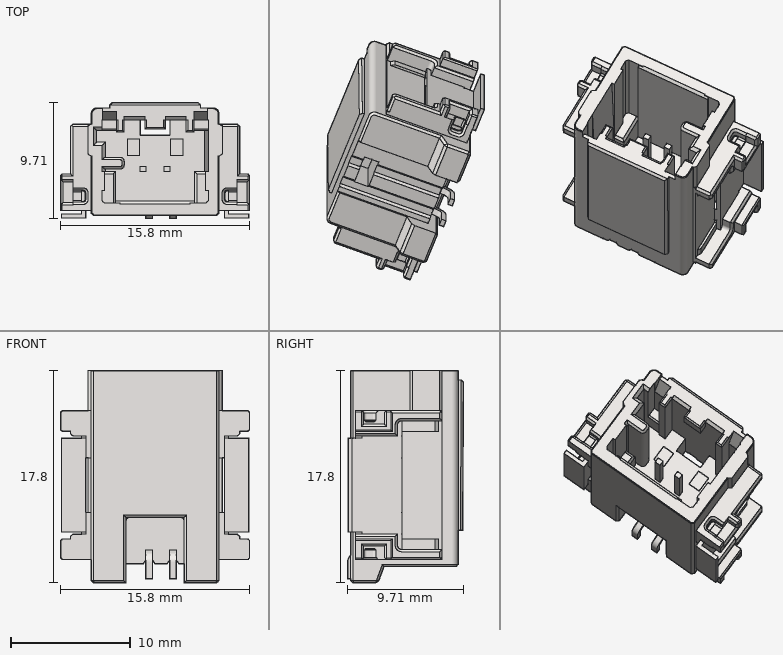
import cadquery as cq
import math

height = 17.8
body_half_width = 5.35
body_back = 9.02
body_bottom = 1.36
back_corner_radius = 0.5
edge_bevel = 0.2
rim_bevel = 0.07

embed = 0.2

foot_depth = 2.3
foot_slope_run = 0.5
foot_inner_x = 2.43
middle_bottom = 1.6

bulge_half_width = 5.62
bulge_front = 5.17
bulge_back = 7.66

wing_mid_z = 8.19
wing_half_height = 6.24
wing_front = 0.42
wing_outer_x = 7.09
wing_arm_thickness = 0.86
wing_block_back = 3.93
wing_block_thickness = 2.14
wing_bend_radius = 0.35
pad_outer_x = 7.9
pad_back = 3.5
pad_thickness = 1.75
wing_bevel = 0.2
pad_bevel = 0.13

notch_inner_x = 6.87
notch_front = 1.1
notch_back = 2.82
notch_depth = 1.13
slot_inner_x = 5.6
slot_front = 1.13
slot_back = 2.13
slot_depth = 0.95
slot_corner_radius = 0.25
slot_floor_bevel = 0.15

plate_inner_x = 5.79
plate_thickness = 0.37
plate_outer_x = 7.84
plate_bottom = -0.2
plate_foot_thickness = 0.34
plate_foot_half_height = 3.93
plate_shoulder_y = 0.95
plate_back = 4.3
plate_gap_half_height = 2.28
guide_pad_height = 0.2
guide_pad_back = 7.05
guide_pad_slope_run = 0.3
guide_pad_half_height = 4.5

rib_half_width = 3.81
rib_back_top = 9.46
rib_back_bottom = 9.39
rib_top = 17.0
rib_bottom = 4.4
rib_bevel = 0.2

floor_z = 6.0
cavity_half_width = 4.45
cavity_front = 1.06
cavity_back = 8.0
post_inner_x = 4.4
key_half_width = 0.85
key_front = 7.25
key_height = 1.7
lead_in = 0.28
guide_bevel = 0.14
wall_draft = 0.3
front_liner_thickness = 0.23
fin_inner_x = 2.6
fin_outer_x = 3.25
fin_front = 7.0
ledge_front = 7.12
ledge_bevel = 0.15
corner_lead_in_run = 0.7
corner_lead_in_depth = 2.1
wall_pad_x = 4.22
wall_pad_front = 2.12
block_back = 3.7
block_inner_x = 3.3
block_height = 3.0
block_bevel = 0.2
front_relief_half_width = 2.92
front_relief_depth = 0.08

polarising_bevel = 0.28
key_slot_x = 4.89
key_slot_front = 6.16
key_slot_back = 7.12
guide_rib_tip_x = 2.58
guide_rib_front = 3.9
guide_rib_back = 4.88
guide_rib_tip_radius = 0.35

window_half_width = 1.24
window_front = 6.73
label_centre_x = 1.81
label_width = 1.04
label_front = 5.03
label_length = 1.37
label_depth = 0.1

notch_top = 5.48
front_notch_depth = 0.9
front_notch_corner = 0.3

pitch = 2.0
pin_width = 0.5
pin_front = 3.7
pin_back = 4.13
pin_top = 12.0
lead_shift = 0.5
lead_width = 0.57
lead_thickness = 0.4
lead_front = -0.25
lead_bottom = 0.35
lead_bend_z = 1.74
lead_bend_radius = 0.8
lead_bend_angle = math.radians(67)
lead_straight = 1.0
lead_relief_bottom_half = 0.49
lead_relief_top_half = 0.31
lead_relief_height = 0.27


def block(x0, x1, y0, y1, z0, z1):
    """Axis-aligned box between two opposite corners."""
    return cq.Workplane("XY").box(x1 - x0, y1 - y0, z1 - z0, centered=False).translate((x0, y0, z0))


def side_profile(points, x0, x1):
    """Closed (y, z) outline extruded from x0 to x1."""
    return cq.Workplane("YZ").polyline(points).close().extrude(x1 - x0).translate((x0, 0, 0))


def plan_profile(points, z0, z1):
    """Closed (x, y) outline extruded from z0 to z1."""
    return cq.Workplane("XY").polyline(points).close().extrude(z1 - z0).translate((0, 0, z0))


def mirrored(shape):
    return shape.union(shape.mirror("YZ"))


def flipped(shape):
    """Add the copy of a wing feature reflected about the wing mid height."""
    return shape.union(shape.mirror("XY", (0, 0, wing_mid_z)))


def make_housing():
    outline = [
        (0, 0),
        (foot_depth, 0),
        (foot_depth + foot_slope_run, body_bottom),
        (body_back, body_bottom),
        (body_back, height),
        (0, height),
    ]
    body = side_profile(outline, -body_half_width, body_half_width)
    body = body.edges("|Z and >Y").fillet(back_corner_radius)
    body = body.edges("|Z and <Y").chamfer(edge_bevel)
    lower_end = cq.selectors.BoxSelector(
        (-bulge_half_width, -foot_depth, -foot_depth), (bulge_half_width, height, 2 * body_bottom))
    foot_root = cq.selectors.NearestToPointSelector((0, foot_depth + foot_slope_run, body_bottom))
    body = body.edges(lower_end - foot_root).chamfer(edge_bevel)
    body = body.faces(">Z").edges().chamfer(rim_bevel)
    bulge = mirrored(plan_profile([
        (0, bulge_front - edge_bevel),
        (body_half_width, bulge_front - edge_bevel),
        (bulge_half_width, bulge_front),
        (bulge_half_width, bulge_back - edge_bevel),
        (bulge_half_width - edge_bevel, bulge_back),
        (0, bulge_back),
    ], wing_mid_z + wing_half_height - wing_arm_thickness, height))
    side_panel = block(-bulge_half_width, bulge_half_width, plate_back, bulge_back,
                       wing_mid_z - wing_half_height, wing_mid_z + wing_half_height)
    return body.union(bulge).union(side_panel)


def make_back_rib():
    outline = [
        (body_back - back_corner_radius, rib_bottom),
        (rib_back_bottom, rib_bottom),
        (rib_back_top, rib_top),
        (body_back - back_corner_radius, rib_top),
    ]
    rib = side_profile(outline, -rib_half_width, rib_half_width)
    return rib.faces(">Y").edges("not <Z").chamfer(rib_bevel)


def cut_cavity(body):
    wall_back = cavity_back + corner_lead_in_run
    body = body.cut(block(-post_inner_x, post_inner_x, cavity_back - lead_in, body_back, rib_top, height))
    body = body.union(make_back_rib())

    cavity = block(-cavity_half_width, cavity_half_width, cavity_front, cavity_back, floor_z, height)
    cavity = cavity.edges("|Z and <Y").chamfer(edge_bevel)
    relief = block(-front_relief_half_width, front_relief_half_width,
                   cavity_front - front_relief_depth, cavity_back, floor_z, height)
    body = body.cut(cavity.union(relief))

    recess_lead_in = side_profile(
        [(cavity_back, rib_top - lead_in), (cavity_back + lead_in, rib_top), (cavity_back, rib_top)],
        key_half_width, fin_inner_x)
    corner_lead_in = side_profile(
        [(cavity_back, rib_top - corner_lead_in_depth), (wall_back, rib_top), (cavity_back, rib_top)],
        fin_outer_x, post_inner_x)
    body = body.cut(mirrored(recess_lead_in)).cut(mirrored(corner_lead_in))

    fin = block(fin_inner_x, fin_outer_x, fin_front, wall_back, floor_z, rib_top)
    fin = fin.faces(">Z").edges("not >Y").chamfer(guide_bevel)
    key = block(-key_half_width, key_half_width, key_front, cavity_back + lead_in,
                rib_top - key_height, rib_top)
    key = key.faces(">Z").edges("not >Y").chamfer(guide_bevel)
    wall_pad = block(wall_pad_x, cavity_half_width, wall_pad_front, block_back, floor_z, height)
    guide_block = block(block_inner_x, cavity_half_width, cavity_front, block_back,
                        floor_z, floor_z + block_height)
    guide_block = guide_block.faces(">Z").edges("<X or >Y").chamfer(block_bevel)
    ledge = block(fin_outer_x, cavity_half_width, ledge_front, cavity_back, floor_z, floor_z + block_height)
    ledge = ledge.faces("<Y").edges(">Z").chamfer(ledge_bevel)
    side_draft = cq.Workplane("XZ").polyline([
        (cavity_half_width, height),
        (cavity_half_width, floor_z),
        (cavity_half_width - wall_draft, floor_z),
    ]).close().extrude(block_back - ledge_front).translate((0, block_back, 0))
    front_face = cavity_front - front_relief_depth
    front_liner = side_profile([
        (front_face, floor_z),
        (front_face, height),
        (front_face + front_liner_thickness, height - front_liner_thickness),
        (front_face + front_liner_thickness, floor_z),
    ], -block_inner_x, block_inner_x)
    for addition in (fin, wall_pad, guide_block, ledge, side_draft):
        body = body.union(mirrored(addition))
    return body.union(key).union(front_liner)


def add_polarising(body):
    liner_face = wall_draft - cavity_half_width
    liner = cq.Workplane("XZ").polyline([
        (-cavity_half_width, floor_z),
        (-cavity_half_width, height),
        (liner_face - polarising_bevel, height),
        (liner_face, height - polarising_bevel),
        (liner_face, floor_z),
    ]).close().extrude(block_back - ledge_front).translate((0, block_back, 0))
    slot = block(-key_slot_x, liner_face, key_slot_front, key_slot_back, floor_z, height)
    rim = block(-key_slot_x - polarising_bevel, liner_face, key_slot_front - polarising_bevel,
                key_slot_back + polarising_bevel, height - polarising_bevel, height + polarising_bevel)
    rim = rim.faces("<Z").edges("not >X").chamfer(polarising_bevel)
    body = body.union(liner).cut(slot).cut(rim)
    rib = block(-cavity_half_width, -guide_rib_tip_x, guide_rib_front, guide_rib_back, floor_z, height)
    rib = rib.edges("|Z and >X").fillet(guide_rib_tip_radius)
    rib = rib.faces(">Z").edges("not <X").chamfer(edge_bevel)
    return body.union(rib)


def cut_floor(body):
    body = body.cut(block(-window_half_width, window_half_width, window_front, cavity_back, 0, floor_z))
    for side in (-1, 1):
        centre = side * label_centre_x
        body = body.cut(block(centre - label_width / 2, centre + label_width / 2,
                              label_front, label_front + label_length, floor_z - label_depth, floor_z))
    return body


def cut_front_notch(body):
    body = body.cut(block(-foot_inner_x, foot_inner_x, 0, body_back, 0, middle_bottom))
    notch = block(-foot_inner_x, foot_inner_x, 0, front_notch_depth, 0, notch_top)
    notch = notch.edges("|Y and >Z").fillet(front_notch_corner)
    flare = (
        cq.Workplane("XZ")
        .center(0, notch_top / 2)
        .rect(2 * (foot_inner_x + edge_bevel), notch_top + 2 * edge_bevel)
        .workplane(offset=-edge_bevel)
        .rect(2 * foot_inner_x, notch_top)
        .loft()
    )
    return body.cut(notch).cut(flare)


def make_wing():
    """Upper +X wing; the lower one is its reflection."""
    top = wing_mid_z + wing_half_height
    arm_bottom = top - wing_arm_thickness
    block_bottom = top - wing_block_thickness
    outline = [
        (wing_front, top),
        (bulge_back, top),
        (bulge_back, arm_bottom),
        (wing_block_back, arm_bottom),
        (wing_block_back, block_bottom),
        (wing_front, block_bottom),
    ]
    wing = side_profile(outline, body_half_width - embed, wing_outer_x)
    inside_corner = cq.selectors.NearestToPointSelector((wing_outer_x, wing_block_back, arm_bottom))
    wing = wing.edges("|X").edges(inside_corner).fillet(wing_bend_radius)
    wing = wing.faces(">X").edges("not <Y").chamfer(wing_bevel)
    pad = block(notch_inner_x - embed, pad_outer_x, wing_front, pad_back, top - pad_thickness, top)
    pad = pad.faces(">X").edges("not <Y").chamfer(pad_bevel)
    pad = pad.edges("|X and >Y and >Z").chamfer(wing_bevel)
    wing = wing.edges("|X and >Y and >Z").chamfer(wing_bevel).union(pad)

    notch = block(notch_inner_x, pad_outer_x, notch_front, notch_back, top - notch_depth, top)
    side_rim = block(pad_outer_x - edge_bevel, pad_outer_x + edge_bevel, notch_front - edge_bevel,
                     notch_back + edge_bevel, top - notch_depth - edge_bevel, top)
    side_rim = side_rim.faces("<X").edges("not >Z").chamfer(edge_bevel)
    top_rim = block(notch_inner_x, pad_outer_x, notch_front - edge_bevel, notch_back + edge_bevel,
                    top - edge_bevel, top + edge_bevel)
    top_rim = top_rim.faces("<Z").edges("|X").chamfer(edge_bevel)
    slot = block(slot_inner_x + edge_bevel, notch_inner_x, slot_front, slot_back, top - slot_depth, top)
    slot = slot.edges("|Z and <X").fillet(slot_corner_radius)
    slot = slot.faces("<Z").edges("not >X").chamfer(slot_floor_bevel)
    slot_rim = block(slot_inner_x, notch_inner_x, slot_front - edge_bevel, slot_back + edge_bevel,
                     top - edge_bevel, top + edge_bevel)
    slot_rim = slot_rim.edges("|Z and <X").fillet(slot_corner_radius + edge_bevel)
    slot_rim = slot_rim.faces("<Z").edges("not >X").chamfer(edge_bevel)
    for cutter in (notch, side_rim, top_rim, slot, slot_rim):
        wing = wing.cut(cutter)
    return wing


def make_plate():
    """L-shaped solder plate on the +X side with the ribs that hold it."""
    leg_outer = plate_inner_x + plate_thickness
    low = wing_mid_z - plate_foot_half_height
    high = wing_mid_z + plate_foot_half_height
    arm_inner = wing_half_height - wing_arm_thickness
    block_inner = wing_half_height - wing_block_thickness
    plate = block(plate_inner_x, leg_outer, plate_bottom, plate_back, low, high)
    plate = plate.union(block(plate_inner_x, leg_outer, plate_shoulder_y, plate_back,
                              wing_mid_z - arm_inner, wing_mid_z + arm_inner))
    plate = plate.union(block(plate_inner_x, plate_outer_x, plate_bottom,
                              plate_bottom + plate_foot_thickness, low, high))
    filler = block(body_half_width - embed, plate_inner_x, wing_front, plate_back,
                   wing_mid_z + plate_gap_half_height, wing_mid_z + block_inner)
    guide_pad = plan_profile([
        (bulge_half_width - embed, plate_back),
        (bulge_half_width + guide_pad_height, plate_back),
        (bulge_half_width + guide_pad_height, guide_pad_back),
        (bulge_half_width, guide_pad_back + guide_pad_slope_run),
        (bulge_half_width - embed, guide_pad_back + guide_pad_slope_run),
    ], wing_mid_z + guide_pad_half_height, wing_mid_z + arm_inner)
    return plate.union(flipped(filler)).union(flipped(guide_pad))


def make_pin(x):
    return block(x - pin_width / 2, x + pin_width / 2, pin_front, pin_back, floor_z, pin_top)


def make_lead(x):
    """Bent lead that leaves the notch wall, slopes forward and turns down."""
    centre_y = lead_front + lead_bend_radius
    inner_radius = lead_bend_radius - lead_thickness

    def on_bend(radius, angle):
        return (centre_y - radius * math.cos(angle), lead_bend_z + radius * math.sin(angle))

    def past_bend(radius):
        y, z = on_bend(radius, lead_bend_angle)
        return (y + lead_straight * math.sin(lead_bend_angle), z + lead_straight * math.cos(lead_bend_angle))

    half_angle = lead_bend_angle / 2
    return (
        cq.Workplane("YZ", origin=(x - lead_width / 2, 0, 0))
        .moveTo(lead_front, lead_bottom)
        .lineTo(lead_front, lead_bend_z)
        .threePointArc(on_bend(lead_bend_radius, half_angle), on_bend(lead_bend_radius, lead_bend_angle))
        .lineTo(*past_bend(lead_bend_radius))
        .lineTo(*past_bend(inner_radius))
        .lineTo(*on_bend(inner_radius, lead_bend_angle))
        .threePointArc(on_bend(inner_radius, half_angle), on_bend(inner_radius, 0))
        .lineTo(lead_front + lead_thickness, lead_bottom)
        .close()
        .extrude(lead_width)
    )


def make_lead_relief(x):
    """Flared groove through the housing bottom under one lead."""
    top = middle_bottom + lead_relief_height
    return (
        cq.Workplane("XZ")
        .moveTo(x - lead_relief_bottom_half, middle_bottom)
        .lineTo(x - lead_relief_top_half, top)
        .lineTo(x + lead_relief_top_half, top)
        .lineTo(x + lead_relief_bottom_half, middle_bottom)
        .close()
        .extrude(-body_back)
    )


result = cut_front_notch(cut_floor(add_polarising(cut_cavity(make_housing()))))
result = result.union(mirrored(flipped(make_wing())))
result = result.union(mirrored(make_plate()))
for pin_x in (-pitch / 2, pitch / 2):
    result = result.cut(make_lead_relief(pin_x + lead_shift))
    result = result.union(make_pin(pin_x)).union(make_lead(pin_x + lead_shift))